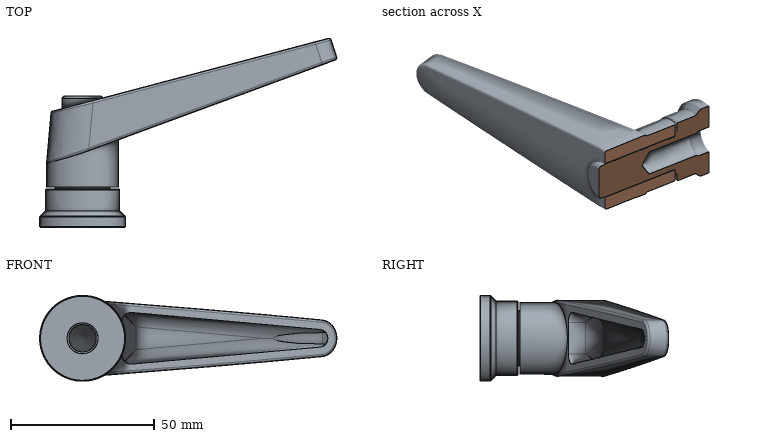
import cadquery as cq
import math


FLANGE_RADIUS = 30.0 / 2
FLANGE_HEIGHT = 3.9
COLLAR_RADIUS = 13.0
COLLAR_SHOULDER = 5.7
COLLAR_TOP = 13.4
NECK_RADIUS = 9.6
STEM_RADIUS = 7.3
STEM_TOP = 45.8
STEM_CHAMFER = 0.8
RIM_CHAMFER = 0.3
BORE_RADIUS = 4.8
BORE_MOUTH_RADIUS = 5.4
BORE_MOUTH_DEPTH = 4.6
BORE_DEPTH = 24.9
DRILL_TIP_ANGLE = 118.0

HUB_RADIUS = 12.5
HUB_BOTTOM = 14.0

BARREL_RADIUS = 13.3
BARREL_X = -1.2
BARREL_LEAN = 5.0
TIP_RADIUS = 6.4
TIP_X = 101.5
TIP_LEAN = -18.0
ARM_LOW = 15.6
ARM_HIGH = 70.5
EDGE_FILLET = 0.8
UNDER_SLOPE = 20.2
UNDER_HEIGHT = 25.9
TOP_SLOPE = 14.8
TOP_HEIGHT = 43.3

POCKET_START = 13.6
POCKET_TIP = 82.4
POCKET_END = 85.6
POCKET_START_HALF_WIDTH = 9.3
POCKET_TIP_HALF_WIDTH = 3.1
POCKET_CORNER_RADIUS = 3.5
POCKET_ROOF = 4.7
POCKET_TIP_RISE = 2.0
POCKET_RAMP_START = 66.4
POCKET_SIDE_FILLET = 5.0
POCKET_ROOT_FILLET = 6.7
POCKET_TIP_FILLET = 1.6
TOOL_SIZE = 207.4


def sloping_plane(height, slope):
    """Plane whose local x runs up the arm, local y is -Z, and normal points up."""
    angle = math.radians(slope)
    return cq.Plane(
        origin=(0, height, 0),
        xDir=(math.cos(angle), math.sin(angle), 0),
        normal=(-math.sin(angle), math.cos(angle), 0),
    )


UNDER_PLANE = sloping_plane(UNDER_HEIGHT, UNDER_SLOPE)
TOP_PLANE = sloping_plane(TOP_HEIGHT, TOP_SLOPE)


def cylinder_along_y(radius, bottom, top):
    axis = cq.Vector(0, 1, 0)
    return cq.Workplane(cq.Solid.makeCylinder(radius, top - bottom, cq.Vector(0, bottom, 0), axis))


def half_block(plane, offset, side):
    """Large block above (side = 1) or below (side = -1) a plane shifted along its normal."""
    return cq.Workplane(plane).workplane(offset=offset).rect(TOOL_SIZE, TOOL_SIZE).extrude(side * TOOL_SIZE)


def arm_outline(y):
    """Two circles joined by their outer tangents, at height y along the hub axis."""
    barrel_x = BARREL_X + y * math.tan(math.radians(BARREL_LEAN))
    tip_x = TIP_X + y * math.tan(math.radians(TIP_LEAN))
    sine = (BARREL_RADIUS - TIP_RADIUS) / (tip_x - barrel_x)
    cosine = math.sqrt(1 - sine**2)
    barrel_tangent = (barrel_x + BARREL_RADIUS * sine, BARREL_RADIUS * cosine)
    tip_tangent = (tip_x + TIP_RADIUS * sine, TIP_RADIUS * cosine)
    outline = (
        cq.Workplane("XZ", origin=(0, y, 0))
        .moveTo(barrel_tangent[0], -barrel_tangent[1])
        .lineTo(tip_tangent[0], -tip_tangent[1])
        .threePointArc((tip_x + TIP_RADIUS, 0), tip_tangent)
        .lineTo(*barrel_tangent)
        .threePointArc((barrel_x - BARREL_RADIUS, 0), (barrel_tangent[0], -barrel_tangent[1]))
        .close()
    )
    return outline.val()


def make_arm():
    column = cq.Workplane(cq.Solid.makeLoft([arm_outline(ARM_LOW), arm_outline(ARM_HIGH)], True))
    arm = column.cut(half_block(UNDER_PLANE, 0, -1)).cut(half_block(TOP_PLANE, 0, 1))
    for plane in (UNDER_PLANE, TOP_PLANE):
        arm = arm.faces(cq.selectors.ParallelDirSelector(plane.zDir)).edges().fillet(EDGE_FILLET)
    return arm


def make_hub():
    """Sleeve that ends inside the arm, just above the rounded edge of the underside."""
    above_underside = half_block(UNDER_PLANE, EDGE_FILLET, 1)
    return cylinder_along_y(HUB_RADIUS, HUB_BOTTOM, TOP_HEIGHT).cut(above_underside)


def floor_point(x, rise=0):
    """Point in the XY plane on the pocket floor, or at a given rise toward the underside."""
    slope = math.radians(TOP_SLOPE)
    return (x, TOP_HEIGHT + x * math.tan(slope) - (POCKET_ROOF + rise) / math.cos(slope))


def pocket_trough(side, taper):
    """Large block with one pocket side wall, a floor, and a rounded edge between them."""
    block = (
        cq.Workplane("XY")
        .box(TOOL_SIZE, TOOL_SIZE, TOOL_SIZE, centered=(True, False, False))
        .translate((0, 0, -POCKET_ROOF - TOOL_SIZE))
        .faces("<Y").edges(">Z")
        .fillet(POCKET_SIDE_FILLET)
    )
    direction = taper if side < 0 else 180 - taper
    start_along_slope = POCKET_START / math.cos(math.radians(TOP_SLOPE))
    placed = block.rotate((0, 0, 0), (0, 0, 1), direction)
    placed = placed.translate((start_along_slope, side * POCKET_START_HALF_WIDTH, 0))
    return cq.Workplane(placed.val().moved(cq.Location(TOP_PLANE)))


def pocket_outline():
    """Upright block with the tapered outline of the pocket."""
    return (
        cq.Workplane("XZ")
        .moveTo(POCKET_START, -POCKET_START_HALF_WIDTH)
        .lineTo(POCKET_TIP, -POCKET_TIP_HALF_WIDTH)
        .threePointArc((POCKET_END, 0), (POCKET_TIP, POCKET_TIP_HALF_WIDTH))
        .lineTo(POCKET_START, POCKET_START_HALF_WIDTH)
        .close()
        .extrude(-TOOL_SIZE)
        .edges("|Y").edges("<X")
        .fillet(POCKET_CORNER_RADIUS)
    )


def pocket_floor():
    """Lengthwise section of the pocket: root wall, floor, ramp and tip wall."""
    section = [
        (POCKET_START, 0),
        floor_point(POCKET_START),
        floor_point(POCKET_RAMP_START),
        floor_point(POCKET_END, POCKET_TIP_RISE),
        (POCKET_END, 0),
    ]
    floor = cq.Workplane("XY").polyline(section).close().extrude(BARREL_RADIUS, both=True)
    root_corner, tip_corner = section[1], section[3]
    root_edge = cq.selectors.NearestToPointSelector((*root_corner, 0))
    tip_edge = cq.selectors.NearestToPointSelector((*tip_corner, 0))
    floor = floor.edges("|Z").edges(root_edge).fillet(POCKET_ROOT_FILLET)
    return floor.edges("|Z").edges(tip_edge).fillet(POCKET_TIP_FILLET)


def make_pocket():
    narrowing = POCKET_START_HALF_WIDTH - POCKET_TIP_HALF_WIDTH
    length = (POCKET_TIP - POCKET_START) / math.cos(math.radians(TOP_SLOPE))
    taper = math.degrees(math.atan2(narrowing, length))
    pocket = pocket_outline().intersect(pocket_floor())
    for side in (-1, 1):
        pocket = pocket.intersect(pocket_trough(side, taper))
    return pocket


def make_handle():
    stem_hole = cylinder_along_y(STEM_RADIUS, HUB_BOTTOM, STEM_TOP)
    return make_arm().cut(make_pocket()).union(make_hub()).cut(stem_hole)


def make_insert():
    """Turned insert with a flange, a collar, a stem through the handle and a blind bore."""
    tip_height = BORE_RADIUS / math.tan(math.radians(DRILL_TIP_ANGLE / 2))
    step_top = BORE_MOUTH_DEPTH + BORE_MOUTH_RADIUS - BORE_RADIUS
    profile = [
        (BORE_MOUTH_RADIUS, 0),
        (FLANGE_RADIUS - RIM_CHAMFER, 0),
        (FLANGE_RADIUS, RIM_CHAMFER),
        (FLANGE_RADIUS, FLANGE_HEIGHT - RIM_CHAMFER),
        (FLANGE_RADIUS - RIM_CHAMFER, FLANGE_HEIGHT),
        (COLLAR_RADIUS + COLLAR_SHOULDER - FLANGE_HEIGHT, FLANGE_HEIGHT),
        (COLLAR_RADIUS, COLLAR_SHOULDER),
        (COLLAR_RADIUS, COLLAR_TOP - RIM_CHAMFER),
        (COLLAR_RADIUS - RIM_CHAMFER, COLLAR_TOP),
        (NECK_RADIUS, COLLAR_TOP),
        (NECK_RADIUS, HUB_BOTTOM),
        (STEM_RADIUS, HUB_BOTTOM),
        (STEM_RADIUS, STEM_TOP - STEM_CHAMFER),
        (STEM_RADIUS - STEM_CHAMFER, STEM_TOP),
        (0, STEM_TOP),
        (0, BORE_DEPTH + tip_height),
        (BORE_RADIUS, BORE_DEPTH),
        (BORE_RADIUS, step_top),
        (BORE_MOUTH_RADIUS, BORE_MOUTH_DEPTH),
    ]
    return cq.Workplane("XY").polyline(profile).close().revolve(360, (0, 0), (0, 1))


handle = make_handle()
insert = make_insert()
result = cq.Compound.makeCompound([handle.val(), insert.val()])